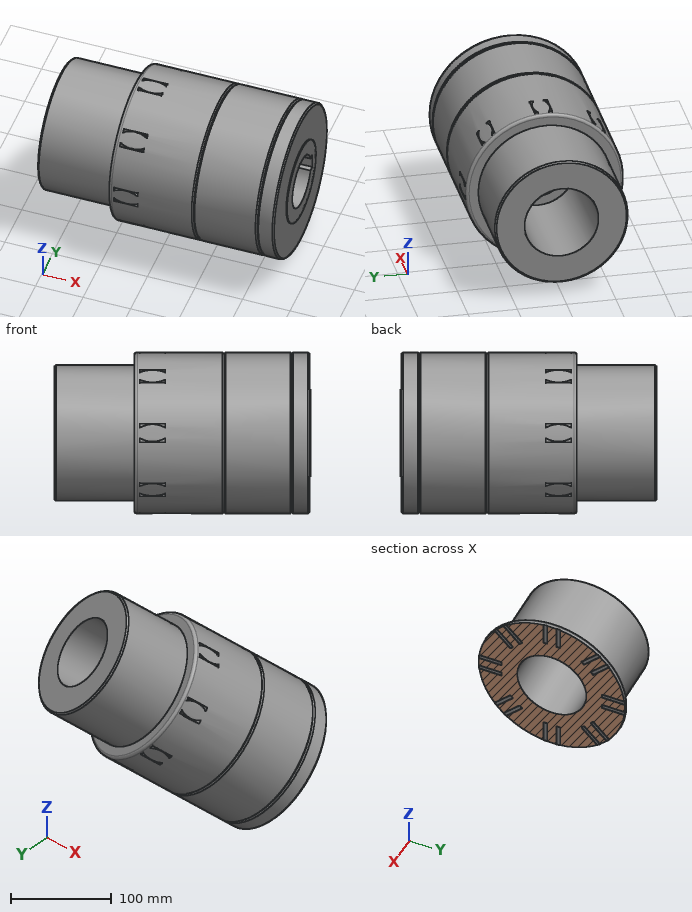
import cadquery as cq


overall_length = 254.0
end_boss_length = 1.0
body_start = 79.0
first_joint = 168.2
second_joint = 235.3
body_end = overall_length - end_boss_length

hub_radius = 135.0 / 2
body_radius = 160.0 / 2
end_boss_radius = 86.0 / 2

edge_chamfer = 1.6
body_front_fillet = 3.0

hub_bore_radius = 75.0 / 2
hub_bore_depth = 110.0
shaft_bore_radius = 55.0 / 2
keyway_width = 16.0
keyway_reach = 31.8

pad_count = 8
slot_start = 84.8
slot_length = 25.0
slot_half_width = 9.0
slot_depth = 25.0
pad_half_width_middle = 8.5
pad_half_width_end = 5.2


def cylinder(start, end, radius):
    """Solid cylinder on the X axis between two stations."""
    return cq.Workplane("YZ", origin=(start, 0, 0)).circle(radius).extrude(end - start)


def make_outside():
    """Hub, three body rings with broken edges and the end boss."""
    hub = cylinder(0, body_start, hub_radius).faces("<X").chamfer(edge_chamfer)
    claw_ring = cylinder(body_start, first_joint, body_radius)
    claw_ring = claw_ring.faces("<X").edges().fillet(body_front_fillet)
    claw_ring = claw_ring.faces(">X").edges().chamfer(edge_chamfer)
    sleeve = cylinder(first_joint, second_joint, body_radius).faces("<X or >X").chamfer(edge_chamfer)
    end_ring = cylinder(second_joint, body_end, body_radius).faces("<X or >X").chamfer(edge_chamfer)
    end_boss = cylinder(body_end, overall_length, end_boss_radius)
    return hub.union(claw_ring).union(sleeve).union(end_ring).union(end_boss)


def cut_bores(body):
    """Wide bore from the hub end, then the keyed shaft bore through the rest."""
    body = body.cut(cylinder(0, hub_bore_depth, hub_bore_radius))
    body = body.cut(cylinder(hub_bore_depth, overall_length, shaft_bore_radius))
    keyway = cq.Workplane("XY").box(
        overall_length - hub_bore_depth, keyway_reach, keyway_width, centered=(False, False, True)
    )
    return body.cut(keyway.translate((hub_bore_depth, 0, 0)))


def make_pad_gap(side):
    """Gap beside the pad at the top of the body; side is +1 or -1 along Y."""
    slot_middle = slot_start + slot_length / 2
    slot_end = slot_start + slot_length
    return (
        cq.Workplane("XY", origin=(0, 0, body_radius - slot_depth))
        .moveTo(slot_start, side * slot_half_width)
        .lineTo(slot_start, side * pad_half_width_end)
        .threePointArc((slot_middle, side * pad_half_width_middle), (slot_end, side * pad_half_width_end))
        .lineTo(slot_end, side * slot_half_width)
        .close()
        .extrude(slot_depth)
    )


def cut_pad_gaps(body):
    """Leave a barrel-shaped pad standing in each slot."""
    for index in range(pad_count):
        angle = index * 360.0 / pad_count
        for side in (1, -1):
            body = body.cut(make_pad_gap(side).rotate((0, 0, 0), (1, 0, 0), angle))
    return body


result = cut_pad_gaps(cut_bores(make_outside()))